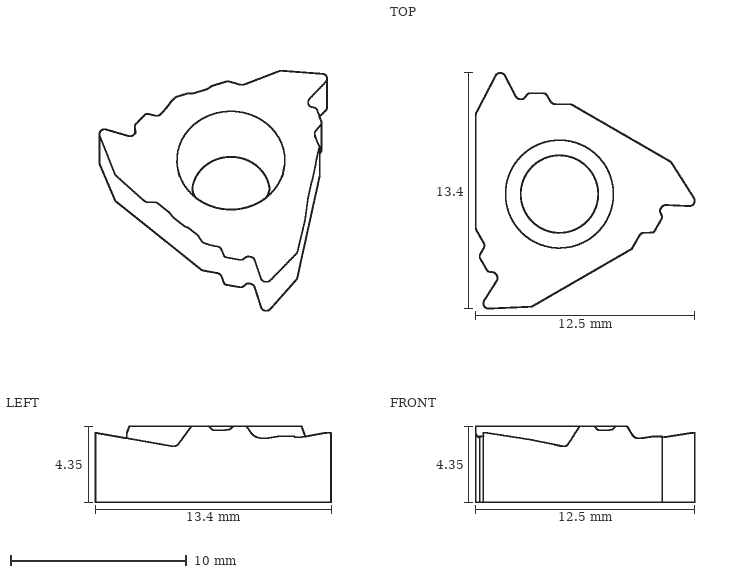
import cadquery as cq
import math

CORNER_COUNT = 3
CORNER_STEP = 360 / CORNER_COUNT
thickness = 4.35
inscribed_radius = 4.76
side_round = 0.2

apex_x = -3.37
apex_y = 7.25
flank_half_angle = 27.5
nose_radius = 0.31
root_y = 5.4
root_end_x = -2.04
root_end_round = 0.2
shoulder_y = 5.74
shoulder_start_x = -1.78
shoulder_end_x = -0.78
shoulder_round = 0.23
land_y = 5.12
land_start_x = -0.42
land_round = 0.31

rake_angle = 10.0
rake_tip_z = 3.97
rake_tip_y = 6.89
wall_turn = 32.0
wall_distance = 3.73
wall_angle = 58.0
valley_radius = 0.3
wall_top_round = 0.15

bore_radius = 4.4 / 2
bore_height = 0.8
seat_radius = 4.0
seat_top_radius = 2.91
recess_bottom_radius = 2.99
recess_bottom_z = 3.35
recess_top_radius = 3.07

notch_y = -0.27
notch_turn = -13.0
notch_length = 1.33
notch_slope = 10.0
notch_floor_width = 0.9
notch_wall_angle = 45.0
notch_floor_round = 0.3
notch_rim_round = 0.17

REACH = 10.73
CLEARANCE = 1.34


def polar(length, degrees):
    angle = math.radians(degrees)
    return cq.Vector(length * math.cos(angle), length * math.sin(angle), 0)


def around_corners(shape):
    """Copies of a solid, one for each cutting corner."""
    return [shape.rotate((0, 0, 0), (0, 0, 1), -i * CORNER_STEP) for i in range(CORNER_COUNT)]


def corner_profile():
    """Sharp points of one corner, clockwise, each with its rounding radius."""
    spread = math.tan(math.radians(flank_half_angle))
    side_x = -inscribed_radius
    side_y = apex_y - (apex_x - side_x) / spread
    root_start_x = apex_x + (apex_y - root_y) * spread
    side_normal = polar(1, 180 - CORNER_STEP)
    land_end_x = (inscribed_radius - land_y * side_normal.y) / side_normal.x
    return [
        (cq.Vector(side_x, side_y), side_round),
        (cq.Vector(apex_x, apex_y), nose_radius),
        (cq.Vector(root_start_x, root_y), nose_radius),
        (cq.Vector(root_end_x, root_y), root_end_round),
        (cq.Vector(shoulder_start_x, shoulder_y), root_end_round),
        (cq.Vector(shoulder_end_x, shoulder_y), shoulder_round),
        (cq.Vector(land_start_x, land_y), land_round),
        (cq.Vector(land_end_x, land_y), side_round),
    ]


def rounded_corner(before, corner, after, radius):
    """Start, middle and end of the arc that rounds a corner."""
    to_before = (before - corner).normalized()
    to_after = (after - corner).normalized()
    half_angle = to_before.getAngle(to_after) / 2
    tangent_length = radius / math.tan(half_angle)
    apex_gap = radius / math.sin(half_angle) - radius
    middle = corner + (to_before + to_after).normalized() * apex_gap
    return corner + to_before * tangent_length, middle, corner + to_after * tangent_length


def make_blank():
    points = []
    for i in range(CORNER_COUNT):
        turn = -i * CORNER_STEP
        x_axis = polar(1, turn)
        y_axis = polar(1, turn + 90)
        for point, radius in corner_profile():
            points.append((x_axis * point.x + y_axis * point.y, radius))
    count = len(points)
    arcs = [
        rounded_corner(points[i - 1][0], points[i][0], points[(i + 1) % count][0], points[i][1])
        for i in range(count)
    ]
    last_end = arcs[-1][2]
    outline = cq.Workplane("XY").moveTo(last_end.x, last_end.y)
    for start, middle, end in arcs:
        outline = outline.lineTo(start.x, start.y)
        outline = outline.threePointArc((middle.x, middle.y), (end.x, end.y))
    return outline.close().extrude(thickness)


def make_rake_cutter():
    """Everything above the rake face and outside the chip-breaker wall of one corner."""
    rake_fall = math.tan(math.radians(rake_angle))
    wall_rise = math.tan(math.radians(wall_angle))
    ceiling = thickness + CLEARANCE

    def rake_z(y):
        return rake_tip_z + (y - rake_tip_y) * rake_fall

    above_rake = (
        cq.Workplane("YZ")
        .polyline([(-REACH, rake_z(-REACH)), (REACH, rake_z(REACH)), (REACH, ceiling), (-REACH, ceiling)])
        .close()
        .extrude(REACH, both=True)
    )
    along_wall = polar(1, wall_turn)
    outward = polar(1, wall_turn + 90)
    wall_edge = outward * wall_distance + cq.Vector(0, 0, thickness)
    outside_wall = (
        cq.Workplane(cq.Plane(wall_edge, outward, along_wall))
        .polyline([
            (-CLEARANCE / wall_rise, CLEARANCE),
            (REACH, CLEARANCE),
            (REACH, -thickness),
            (thickness / wall_rise, -thickness),
        ])
        .close()
        .extrude(REACH, both=True)
    )
    rake_normal = cq.Vector(0, -rake_fall, 1)
    wall_normal = outward * wall_rise + cq.Vector(0, 0, 1)
    valley = cq.selectors.ParallelDirSelector(rake_normal.cross(wall_normal))
    return above_rake.intersect(outside_wall).edges(valley).fillet(valley_radius)


def round_wall_tops(body):
    for i in range(CORNER_COUNT):
        along_wall = polar(1, wall_turn - i * CORNER_STEP)
        wall_top = cq.selectors.ParallelDirSelector(along_wall)
        body = body.faces(">Z").edges(wall_top).fillet(wall_top_round)
    return body


def make_hole_cutter():
    seat_angle = math.acos(1 - (seat_top_radius - bore_radius) / seat_radius)
    middle_angle = seat_angle / 2
    seat_center_r = bore_radius + seat_radius
    seat_middle = (
        seat_center_r - seat_radius * math.cos(middle_angle),
        bore_height + seat_radius * math.sin(middle_angle),
    )
    seat_top = (seat_top_radius, bore_height + seat_radius * math.sin(seat_angle))
    return (
        cq.Workplane("XZ")
        .lineTo(bore_radius, 0)
        .lineTo(bore_radius, bore_height)
        .threePointArc(seat_middle, seat_top)
        .tangentArcPoint((recess_bottom_radius, recess_bottom_z), relative=False)
        .lineTo(recess_top_radius, thickness)
        .lineTo(0, thickness)
        .close()
        .revolve(360, (0, 0, 0), (0, 1, 0))
    )


def cut_notch(body):
    """Straight trapezoidal notch whose floor meets the top face at the inner end."""
    inward = polar(1, notch_turn)
    across = polar(1, notch_turn + 90)
    inner_end = cq.Vector(-inscribed_radius, notch_y, thickness) + inward * notch_length
    slope = math.radians(notch_slope)
    outward_down = inward * -math.cos(slope) - cq.Vector(0, 0, math.sin(slope))
    half_floor = notch_floor_width / 2
    half_top = half_floor + CLEARANCE / math.tan(math.radians(notch_wall_angle))
    cutter = (
        cq.Workplane(cq.Plane(inner_end, across * -1, outward_down))
        .polyline([(-half_floor, 0), (half_floor, 0), (half_top, CLEARANCE), (-half_top, CLEARANCE)])
        .close()
        .extrude(2 * notch_length)
        .edges(cq.selectors.ParallelDirSelector(outward_down))
        .edges(cq.selectors.CenterNthSelector(cq.Vector(0, 0, 1), 0))
        .fillet(notch_floor_round)
    )
    side_edge = inner_end - inward * (notch_length / 2) + across * half_floor
    nearest = cq.selectors.NearestToPointSelector(side_edge.toTuple())
    return body.cut(cutter).faces(">Z").edges(nearest).fillet(notch_rim_round)


result = make_blank()
for rake_cutter in around_corners(make_rake_cutter()):
    result = result.cut(rake_cutter)
result = round_wall_tops(result)
for _ in range(CORNER_COUNT):
    result = cut_notch(result).rotate((0, 0, 0), (0, 0, 1), CORNER_STEP)
result = result.cut(make_hole_cutter())